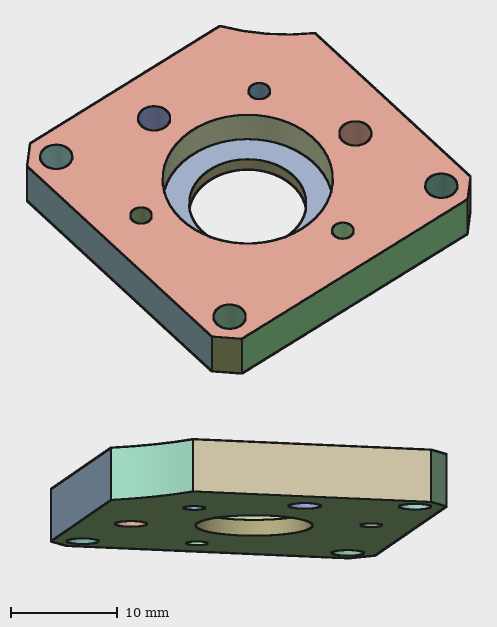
import cadquery as cq
import math

side = 31.4
thickness = 5.0
half = side / 2
corner_chamfer = 2.0

relief_leg = 6.35
relief_sagitta = 0.53

bore_center = (0.7, -0.7)
bore_diameter = 11
counterbore_diameter = 16.0
counterbore_depth = 3.5

large_hole_diameter = 3.0
small_hole_diameter = 2.0
corner_hole_offset = 12.85
small_circle_radius = 11
large_circle_radius = 11.6
diagonal_angle = 135
large_hole_half_spread = 55
small_hole_count = 3


def around_bore(radius, angle):
    """Point on a circle about the bore axis, angle in degrees from +X."""
    turn = math.radians(angle)
    return (
        bore_center[0] + radius * math.cos(turn),
        bore_center[1] + radius * math.sin(turn),
    )


def make_plate():
    inset = half - corner_chamfer
    relief_inset = half - relief_leg
    relief_middle = half - relief_leg / 2 - relief_sagitta / math.sqrt(2)
    return (
        cq.Workplane("XY")
        .moveTo(-half, -inset)
        .lineTo(-inset, -half)
        .lineTo(inset, -half)
        .lineTo(half, -inset)
        .lineTo(half, inset)
        .lineTo(inset, half)
        .lineTo(-relief_inset, half)
        .threePointArc((-relief_middle, relief_middle), (-half, relief_inset))
        .close()
        .extrude(thickness)
    )


def make_bore():
    through = cq.Workplane("XY").center(*bore_center).circle(bore_diameter / 2).extrude(thickness)
    counterbore = (
        cq.Workplane("XY", origin=(0, 0, thickness - counterbore_depth))
        .center(*bore_center)
        .circle(counterbore_diameter / 2)
        .extrude(counterbore_depth)
    )
    return through.union(counterbore)


def make_holes(points, diameter):
    return cq.Workplane("XY").pushPoints(points).circle(diameter / 2).extrude(thickness)


corner_points = [
    (corner_hole_offset, corner_hole_offset),
    (corner_hole_offset, -corner_hole_offset),
    (-corner_hole_offset, -corner_hole_offset),
]
large_points = [
    around_bore(large_circle_radius, diagonal_angle + sign * large_hole_half_spread)
    for sign in (-1, 1)
]
small_points = [
    around_bore(small_circle_radius, diagonal_angle + index * 360 / small_hole_count)
    for index in range(small_hole_count)
]

result = (
    make_plate()
    .cut(make_bore())
    .cut(make_holes(corner_points + large_points, large_hole_diameter))
    .cut(make_holes(small_points, small_hole_diameter))
)